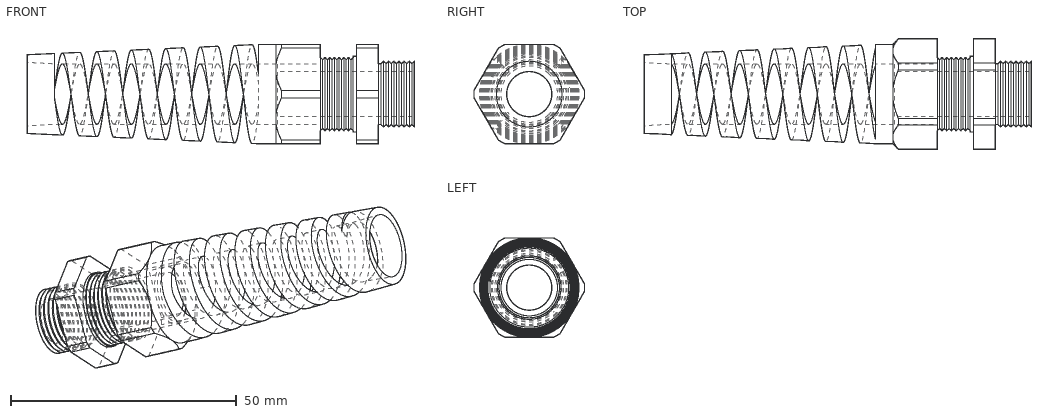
import cadquery as cq
import math

TOTAL_LENGTH = 85.85

HEX_ACROSS_FLATS = 22.1
HEX_CORNER_RADIUS = 12.3

SLEEVE_END_X = 6.1
COLLAR_START_X = 51.25
CAP_HEX_START_X = 55.1
CAP_END_X = 65.0
COLLAR_RADIUS = HEX_ACROSS_FLATS / 2
SLEEVE_TIP_RADIUS = 8.75
SLEEVE_MOUTH_RADIUS = 7.0
CAP_BORE_RADIUS = 6.7

SPIRAL_PITCH = 7.6
SLOT_WIDTH = 3.8
SLOT_START_X = -1.7
SLOT_TURNS = 8
SLOT_OVERCUT = 0.9

BODY_BORE_RADIUS = 5.0
STUB_CHAMFER = 0.4
REAR_THREAD_CREST_RADIUS = 8.15
REAR_THREAD_ROOT_RADIUS = 7.6
FLANGE_RADIUS = 8.4
FLANGE_LENGTH = 0.7
BODY_HEX_START_X = 73.0
BODY_HEX_END_X = 77.9
FRONT_THREAD_CREST_RADIUS = 7.3
FRONT_THREAD_ROOT_RADIUS = 6.8
THREAD_TURNS = 7


def revolve_about_x(outline):
    """Turn a closed (x, radius) outline about the X axis."""
    return cq.Workplane("XZ").polyline(outline).close().revolve(360, (0, 0, 0), (1, 0, 0))


def cylinder_along_x(start_x, end_x, radius):
    return cq.Workplane("YZ", origin=(start_x, 0, 0)).circle(radius).extrude(end_x - start_x)


def rounded_hexagon(start_x, end_x):
    """Hexagon with flats on +Z and -Z, its corners turned down to a cylinder."""
    across_corners = HEX_ACROSS_FLATS / math.cos(math.pi / 6)
    hexagon = cq.Workplane("YZ", origin=(start_x, 0, 0)).polygon(6, across_corners).extrude(end_x - start_x)
    return hexagon.intersect(cylinder_along_x(start_x, end_x, HEX_CORNER_RADIUS))


def chamfered_cap_hexagon():
    """Cap hexagon with a 45 degree turned chamfer on the collar side."""
    chamfer = HEX_CORNER_RADIUS - COLLAR_RADIUS
    envelope = revolve_about_x([
        (CAP_HEX_START_X, 0),
        (CAP_HEX_START_X, COLLAR_RADIUS),
        (CAP_HEX_START_X + chamfer, HEX_CORNER_RADIUS),
        (CAP_END_X, HEX_CORNER_RADIUS),
        (CAP_END_X, 0),
    ])
    return rounded_hexagon(CAP_HEX_START_X, CAP_END_X).intersect(envelope)


def tapered_sleeve_and_collar():
    return revolve_about_x([
        (0, 0),
        (0, SLEEVE_TIP_RADIUS),
        (COLLAR_START_X, COLLAR_RADIUS),
        (CAP_HEX_START_X, COLLAR_RADIUS),
        (CAP_HEX_START_X, 0),
    ])


def cap_bore():
    """Through bore with a mouth that narrows along the end sleeve."""
    return revolve_about_x([
        (0, 0),
        (0, SLEEVE_MOUTH_RADIUS),
        (SLEEVE_END_X, CAP_BORE_RADIUS),
        (CAP_END_X, CAP_BORE_RADIUS),
        (CAP_END_X, 0),
    ])


def spiral_slot():
    """Right-hand helical slot, stopped square at the end sleeve and at the collar."""
    inner_radius = CAP_BORE_RADIUS - SLOT_OVERCUT
    outer_radius = COLLAR_RADIUS + SLOT_OVERCUT
    middle_radius = (inner_radius + outer_radius) / 2
    path = cq.Wire.makeHelix(SPIRAL_PITCH, SPIRAL_PITCH * SLOT_TURNS, middle_radius)
    slot = (
        cq.Workplane("XZ", origin=(middle_radius, 0, 0))
        .rect(outer_radius - inner_radius, SLOT_WIDTH)
        .sweep(cq.Workplane(obj=path), isFrenet=True)
    )
    slot = slot.rotate((0, 0, 0), (0, 1, 0), 90).rotate((0, 0, 0), (1, 0, 0), 180)
    slot = slot.translate((SLOT_START_X, 0, 0))
    return slot.intersect(cylinder_along_x(SLEEVE_END_X, COLLAR_START_X, outer_radius + SLOT_OVERCUT))


def make_cap():
    blank = tapered_sleeve_and_collar().union(chamfered_cap_hexagon())
    return blank.cut(cap_bore()).cut(spiral_slot())


def thread_profile(start_x, end_x, crest_radius, root_radius):
    """V-groove points that end each pitch on a crest, from the first root to the last crest."""
    pitch = (end_x - start_x) / THREAD_TURNS
    points = []
    for turn in range(THREAD_TURNS):
        points.append((start_x + (turn + 0.5) * pitch, root_radius))
        points.append((start_x + (turn + 1) * pitch, crest_radius))
    return points


def make_body():
    flange_start_x = BODY_HEX_START_X - FLANGE_LENGTH
    rear_thread = thread_profile(
        CAP_END_X, flange_start_x, REAR_THREAD_CREST_RADIUS, REAR_THREAD_ROOT_RADIUS
    )
    front_thread = thread_profile(
        BODY_HEX_END_X, TOTAL_LENGTH, FRONT_THREAD_CREST_RADIUS, FRONT_THREAD_ROOT_RADIUS
    )
    turned_part = revolve_about_x([
        (CAP_HEX_START_X, BODY_BORE_RADIUS),
        (CAP_HEX_START_X, CAP_BORE_RADIUS - STUB_CHAMFER),
        (CAP_HEX_START_X + STUB_CHAMFER, CAP_BORE_RADIUS),
        (CAP_END_X, CAP_BORE_RADIUS),
        (CAP_END_X, REAR_THREAD_CREST_RADIUS),
        *rear_thread,
        (flange_start_x, FLANGE_RADIUS),
        (BODY_HEX_START_X, FLANGE_RADIUS),
        (BODY_HEX_END_X, FLANGE_RADIUS),
        (BODY_HEX_END_X, FRONT_THREAD_ROOT_RADIUS),
        *front_thread,
        (TOTAL_LENGTH, BODY_BORE_RADIUS),
    ])
    hexagon = rounded_hexagon(BODY_HEX_START_X, BODY_HEX_END_X)
    hexagon = hexagon.cut(cylinder_along_x(BODY_HEX_START_X, BODY_HEX_END_X, BODY_BORE_RADIUS))
    return turned_part.union(hexagon)


cap = make_cap()
body = make_body()

result = cq.Compound.makeCompound([cap.val(), body.val()])